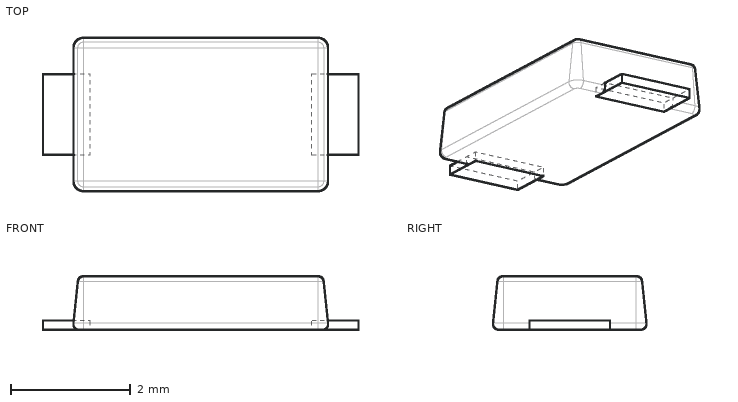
import cadquery as cq
import math

HOUSING_LENGTH = 4.3
HOUSING_WIDTH = 2.6
HOUSING_HEIGHT = 0.9
DRAFT_ANGLE = 6.0
EDGE_RADIUS = 0.1

TOP_CORNER_ALLOWANCE = 0.001
DRAFT = math.radians(DRAFT_ANGLE)
BASE_CORNER_RADIUS = (
    EDGE_RADIUS / math.cos(DRAFT)
    + (HOUSING_HEIGHT - EDGE_RADIUS) * math.tan(DRAFT)
    + TOP_CORNER_ALLOWANCE
)

SPAN = 5.3
LEAD_LENGTH = 0.795
LEAD_WIDTH = 1.355
LEAD_THICKNESS = 0.16


def make_lead(side):
    """Flat lead at the -X (side = -1) or +X (side = +1) end."""
    center_x = side * (SPAN - LEAD_LENGTH) / 2
    return (
        cq.Workplane("XY")
        .center(center_x, 0)
        .box(LEAD_LENGTH, LEAD_WIDTH, LEAD_THICKNESS, centered=(True, True, False))
    )


def make_housing(leads):
    """Drafted, rounded block with a recess in its underside for each lead."""
    outline = cq.Sketch().rect(HOUSING_LENGTH, HOUSING_WIDTH).vertices().fillet(BASE_CORNER_RADIUS)
    block = cq.Workplane("XY").placeSketch(outline).extrude(HOUSING_HEIGHT, taper=DRAFT_ANGLE)
    block = block.faces("<Z or >Z").edges().fillet(EDGE_RADIUS)
    for lead in leads:
        block = block.cut(lead)
    return block.solids()


leads = [make_lead(side) for side in (-1, 1)]
housing = make_housing(leads)

result = cq.Compound.makeCompound([housing.val(), *[lead.val() for lead in leads]])